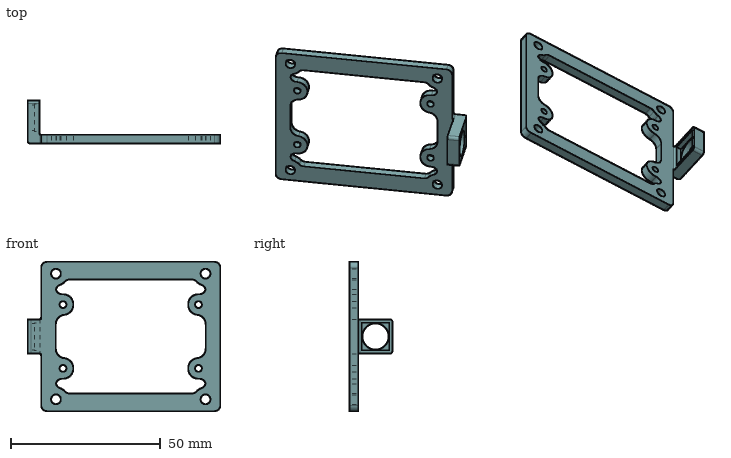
import cadquery as cq
import math

frame_width = 60.0
frame_height = 50.0
frame_thickness = 3.0
frame_corner_radius = 2.0

side_bar_width = 5.0
end_bar_width = 6.0
opening_half_width = frame_width / 2 - side_bar_width
opening_half_height = frame_height / 2 - end_bar_width

corner_hole_diameter = 3.2
corner_hole_x = 25.0
corner_hole_z = 21.0
corner_pad_radius = 4.0

ear_hole_diameter = 2.2
ear_hole_x = 22.65
ear_hole_z = 10.67
ear_radius = 3.5

pad_to_bar_fillet = 2.0
notch_fillet = 2.0
ear_to_side_fillet = 3.0

tab_thickness = 4.0
tab_height = 11.5
tab_depth = 14.5
tab_root_fillet = 0.5
tab_corner_radius = 1.0
tab_hole_diameter = 8.7
tab_pocket_side = 9.2
tab_pocket_depth = 1.75
frame_edge_x = -frame_width / 2
tab_inner_x = frame_edge_x - tab_root_fillet
tab_outer_x = tab_inner_x - tab_thickness
tab_hole_y = tab_depth - tab_height / 2


def front_plane():
    """Sketch plane on the front face; extruding by a negative length goes toward +Y."""
    return cq.Workplane("XZ")


def four_points(x, z):
    """The point (x, z) mirrored about both centre lines."""
    return [(side * x, end * z) for side in (-1, 1) for end in (-1, 1)]


def plate_cylinders(x, z, diameter):
    """Four mirrored cylinders spanning the plate thickness."""
    return front_plane().pushPoints(four_points(x, z)).circle(diameter / 2).extrude(-frame_thickness)


def blend_centre_by_side(round_x, round_z, round_radius, blend_radius, direction):
    """Centre of an arc tangent to the opening side and to a round, above (+1) or below (-1) it."""
    centre_x = opening_half_width - blend_radius
    rise = math.sqrt((round_radius + blend_radius) ** 2 - (round_x - centre_x) ** 2)
    return centre_x, round_z + direction * rise


def tangent_point(round_x, round_z, round_radius, blend_centre):
    """Point where a round touches an arc centred at blend_centre."""
    span_x = blend_centre[0] - round_x
    span_z = blend_centre[1] - round_z
    ratio = round_radius / math.hypot(span_x, span_z)
    return round_x + ratio * span_x, round_z + ratio * span_z


def make_opening_quarter():
    """Quarter of the opening in +X, +Z: it bends around the corner pad and the ear."""
    pad = (corner_hole_x, corner_hole_z, corner_pad_radius)
    ear = (ear_hole_x, ear_hole_z, ear_radius)

    bar_centre_z = opening_half_height - pad_to_bar_fillet
    bar_reach = math.sqrt((corner_pad_radius + pad_to_bar_fillet) ** 2 - (corner_hole_z - bar_centre_z) ** 2)
    bar_centre = (corner_hole_x - bar_reach, bar_centre_z)

    notch_upper = blend_centre_by_side(*pad, notch_fillet, -1)
    notch_lower = blend_centre_by_side(*ear, notch_fillet, 1)
    half_gap = (notch_lower[1] - notch_upper[1]) / 2
    notch_tip = (
        notch_upper[0] + math.sqrt(notch_fillet**2 - half_gap**2),
        notch_upper[1] + half_gap,
    )

    side_centre = blend_centre_by_side(*ear, ear_to_side_fillet, -1)

    return (
        front_plane()
        .lineTo(0, opening_half_height)
        .lineTo(bar_centre[0], opening_half_height)
        .radiusArc(tangent_point(*pad, bar_centre), pad_to_bar_fillet)
        .radiusArc(tangent_point(*pad, notch_upper), -corner_pad_radius)
        .radiusArc(notch_tip, notch_fillet)
        .radiusArc(tangent_point(*ear, notch_lower), notch_fillet)
        .threePointArc((ear_hole_x - ear_radius, ear_hole_z), tangent_point(*ear, side_centre))
        .radiusArc((opening_half_width, side_centre[1]), ear_to_side_fillet)
        .lineTo(opening_half_width, 0)
        .close()
        .extrude(-frame_thickness)
    )


def make_opening():
    """Whole opening, mirrored from one quarter about both centre lines."""
    quarter = make_opening_quarter()
    half = quarter.union(quarter.mirror("YZ"))
    return half.union(half.mirror("XY"))


def make_frame():
    """Rounded plate with its opening and through holes."""
    frame = front_plane().rect(frame_width, frame_height).extrude(-frame_thickness)
    frame = frame.edges("|Y").fillet(frame_corner_radius)
    frame = frame.cut(make_opening())
    frame = frame.cut(plate_cylinders(corner_hole_x, corner_hole_z, corner_hole_diameter))
    return frame.cut(plate_cylinders(ear_hole_x, ear_hole_z, ear_hole_diameter))


def make_tab():
    """L-section tab with a rounded bend, rounded free corners and a round hole.

    The hole opens into a square pocket on the +X face.
    """
    tab = (
        cq.Workplane("XY")
        .moveTo(tab_outer_x, 0)
        .lineTo(frame_edge_x, 0)
        .lineTo(frame_edge_x, frame_thickness)
        .radiusArc((tab_inner_x, frame_thickness + tab_root_fillet), tab_root_fillet)
        .lineTo(tab_inner_x, tab_depth)
        .lineTo(tab_outer_x, tab_depth)
        .close()
        .extrude(tab_height / 2, both=True)
    )
    tab = tab.edges("|Z and <X and <Y").fillet(tab_corner_radius)
    tab = tab.faces(">Y").edges("|X").fillet(tab_corner_radius)
    hole = (
        cq.Workplane("YZ", origin=(tab_outer_x, 0, 0))
        .center(tab_hole_y, 0)
        .circle(tab_hole_diameter / 2)
        .extrude(tab_thickness)
    )
    pocket = (
        cq.Workplane("YZ", origin=(tab_inner_x, 0, 0))
        .center(tab_hole_y, 0)
        .rect(tab_pocket_side, tab_pocket_side)
        .extrude(-tab_pocket_depth)
    )
    return tab.cut(hole).cut(pocket)


def make_tab_root_fillets():
    """Concave corner fillets above and below the tab where it joins the frame edge."""
    root_z = tab_height / 2
    upper = (
        front_plane()
        .moveTo(frame_edge_x, root_z)
        .lineTo(frame_edge_x, root_z + tab_root_fillet)
        .radiusArc((tab_inner_x, root_z), tab_root_fillet)
        .close()
        .extrude(-frame_thickness)
    )
    return upper.union(upper.mirror("XY"))


result = make_frame().union(make_tab()).union(make_tab_root_fillets())